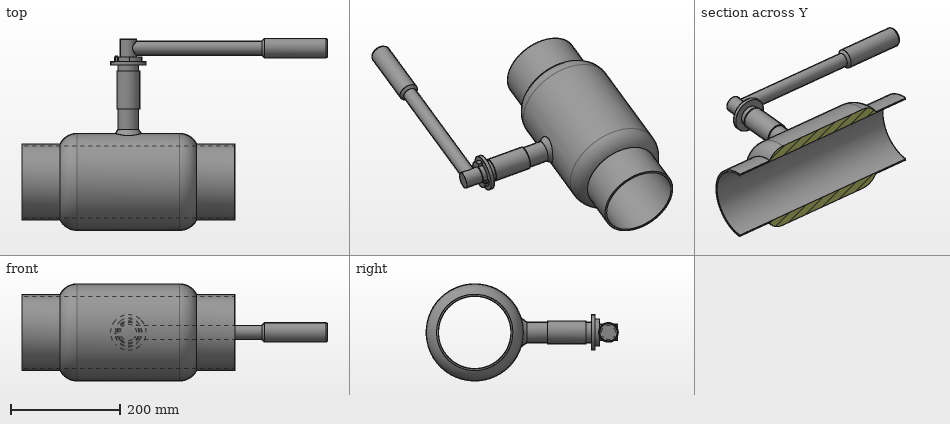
import cadquery as cq
import math


pipe_length = 390
pipe_diameter = 139.7
bore_diameter = 132.5
body_length = 250
body_diameter = 178
shoulder_radius = 35

stem_diameter = 38
weld_cone_top = 96
weld_cone_drop = 11
weld_cone_spread = 7.5
stem_root = 75
sleeve_diameter = 42
sleeve_bottom = 133.5
sleeve_top = 203.5
plate_diameter = 65
plate_bottom = 213.8
plate_top = 220.5

stop_diameter = 50
stop_core_diameter = 36
stop_top = 229
stop_face_x = 2.5
pin_diameter = 4
pin_offset = 21.5
pin_top = 230.5

head_diameter = 30
head_top = 261.5
lever_height = 245
rod_diameter = 26
grip_diameter = 36
grip_start = 249.5
grip_end = 365
grip_end_chamfer_length = 3
grip_end_chamfer_depth = 2
grip_taper_length = 5


def y_cylinder(diameter, bottom, top, x=0):
    """Upright cylinder along Y between two heights, centred at the given X."""
    plane = cq.Workplane("XZ", origin=(x, bottom, 0))
    return plane.circle(diameter / 2).extrude(bottom - top)


def x_cylinder(diameter, start, end, height=0):
    """Cylinder along X between two stations, centred at the given Y height."""
    plane = cq.Workplane("YZ", origin=(start, height, 0))
    return plane.circle(diameter / 2).extrude(end - start)


def make_body():
    """Solid barrel with arc shoulders that run from the barrel down to the pipe."""
    half_length = body_length / 2
    body_radius = body_diameter / 2
    pipe_radius = pipe_diameter / 2
    arc_center_height = body_radius - shoulder_radius
    sweep_angle = math.acos((pipe_radius - arc_center_height) / shoulder_radius)
    half_barrel = half_length - shoulder_radius * math.sin(sweep_angle)
    mid_x = half_barrel + shoulder_radius * math.sin(sweep_angle / 2)
    mid_y = arc_center_height + shoulder_radius * math.cos(sweep_angle / 2)
    profile = (
        cq.Workplane("XY")
        .moveTo(-half_length, 0)
        .lineTo(-half_length, pipe_radius)
        .threePointArc((-mid_x, mid_y), (-half_barrel, body_radius))
        .lineTo(half_barrel, body_radius)
        .threePointArc((mid_x, mid_y), (half_length, pipe_radius))
        .lineTo(half_length, 0)
        .close()
    )
    return profile.revolve(360, (0, 0, 0), (1, 0, 0))


def make_stem():
    """Stem tube with its weld cone, thicker sleeve and round top plate."""
    stem_radius = stem_diameter / 2
    cone_radius = stem_radius + weld_cone_spread
    cone_bottom = weld_cone_top - weld_cone_drop
    cone = (
        cq.Workplane("XY")
        .moveTo(0, stem_root)
        .lineTo(cone_radius, stem_root)
        .lineTo(cone_radius, cone_bottom)
        .lineTo(stem_radius, weld_cone_top)
        .lineTo(0, weld_cone_top)
        .close()
        .revolve(360, (0, 0, 0), (0, 1, 0))
    )
    tube = y_cylinder(stem_diameter, stem_root, plate_bottom)
    sleeve = y_cylinder(sleeve_diameter, sleeve_bottom, sleeve_top)
    plate = y_cylinder(plate_diameter, plate_bottom, plate_top)
    return cone.union(tube).union(sleeve).union(plate)


def make_travel_stop():
    """Stop disc whose -X/+Z quarter is cut back to the core, with the stop pin."""
    pin_radius = pin_diameter / 2
    disc = y_cylinder(stop_diameter, plate_top, stop_top)
    quarter = cq.Workplane("XY").box(
        stop_diameter, stop_top - plate_top, stop_diameter, centered=False
    )
    quarter = quarter.translate((stop_face_x - stop_diameter, plate_top, -pin_radius))
    core = y_cylinder(stop_core_diameter, plate_top, stop_top)
    pin = y_cylinder(pin_diameter, plate_bottom, pin_top, -pin_offset)
    return disc.cut(quarter).union(core).union(pin)


def make_lever():
    """Stem head, lever rod and grip with a tapered start and a chamfered end."""
    rod_radius = rod_diameter / 2
    grip_radius = grip_diameter / 2
    head = y_cylinder(head_diameter, stop_top, head_top)
    rod = x_cylinder(rod_diameter, 0, grip_start, lever_height)
    grip = (
        cq.Workplane("XY", origin=(0, lever_height, 0))
        .moveTo(grip_start - grip_taper_length, 0)
        .lineTo(grip_start - grip_taper_length, rod_radius)
        .lineTo(grip_start, grip_radius)
        .lineTo(grip_end - grip_end_chamfer_length, grip_radius)
        .lineTo(grip_end, grip_radius - grip_end_chamfer_depth)
        .lineTo(grip_end, 0)
        .close()
        .revolve(360, (0, 0, 0), (1, 0, 0))
    )
    return head.union(rod).union(grip)


half_pipe = pipe_length / 2
pipe = x_cylinder(pipe_diameter, -half_pipe, half_pipe)
bore = x_cylinder(bore_diameter, -half_pipe, half_pipe)

result = make_body().union(pipe).union(make_stem()).cut(bore)
result = result.union(make_travel_stop()).union(make_lever())